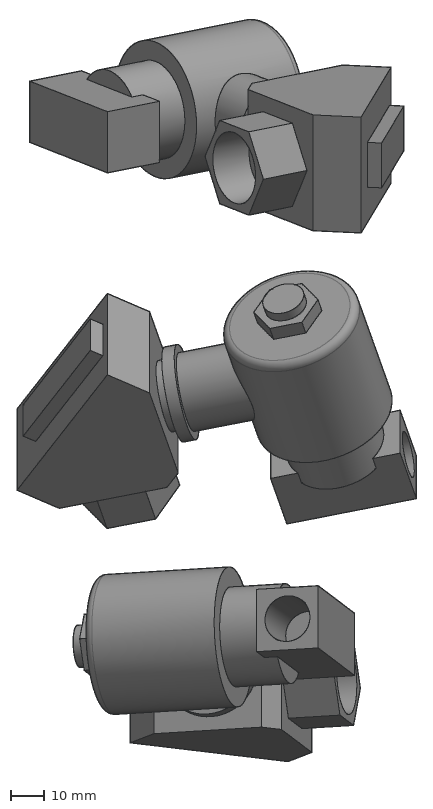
import cadquery as cq
import math


coil_radius = 21.0
coil_front_y = -18.9
coil_rear_y = 21.6
coil_rear_fillet = 2.4

nut_corner_diameter = 19.9
nut_height = 4.5
stud_diameter = 12.7
stud_height = 3.1

branch_radius = 12.0
flange_radius = 14.5
flange_start_x = 37.6
flange_end_x = 41.5

neck_radius = 15.0
neck_front_y = -35.9
foot_length = 40.1
foot_height = 19.1
foot_front_y = -50.9
foot_bore_diameter = 14.0
foot_bore_depth = 22.7

block_height = 36.1
block_left_x = 44.2
block_right_x = 92.6
block_front_y = -19.9
block_left_top_y = 18.4
block_right_y = -9.5
block_front_chamfer = 4.8
spigot_radius = 10.9

plate_length = 40.1
plate_width = 14.0
plate_thickness = 4.3
plate_inset = 2.7

port_x = 64.2
port_corner_diameter = 2 * neck_radius
port_bore_diameter = 21.9
port_bore_depth = 13.3


def cylinder_along_y(radius, start_y, end_y):
    return cq.Workplane("XZ", origin=(0, start_y, 0)).circle(radius).extrude(start_y - end_y)


def hexagon_along_y(corner_diameter, center_x, start_y, end_y):
    """Hexagonal prism with two corners on the X direction."""
    plane = cq.Workplane("XZ", origin=(center_x, start_y, 0))
    return plane.polygon(6, corner_diameter).extrude(start_y - end_y)


def cylinder_along_x(radius, start_x, end_x):
    return cq.Workplane("YZ", origin=(start_x, 0, 0)).circle(radius).extrude(end_x - start_x)


def make_coil():
    nut_rear_y = coil_rear_y + nut_height
    coil = cylinder_along_y(coil_radius, coil_front_y, coil_rear_y)
    coil = coil.faces(">Y").edges().fillet(coil_rear_fillet)
    nut = hexagon_along_y(nut_corner_diameter, 0, coil_rear_y, nut_rear_y)
    stud = cylinder_along_y(stud_diameter / 2, nut_rear_y, nut_rear_y + stud_height)
    branch = cylinder_along_x(branch_radius, 0, flange_start_x)
    flange = cylinder_along_x(flange_radius, flange_start_x, flange_end_x)
    return coil.union(nut).union(stud).union(branch).union(flange)


def make_valve_body():
    foot_depth = foot_height
    foot_center_y = foot_front_y + foot_depth / 2
    foot = cq.Workplane("XY").box(foot_length, foot_depth, foot_height)
    foot = foot.translate((0, foot_center_y, 0))
    neck = cylinder_along_y(neck_radius, neck_front_y, coil_front_y)
    foot_left_x = -foot_length / 2
    bore = cylinder_along_x(foot_bore_diameter / 2, foot_left_x, foot_left_x + foot_bore_depth)
    bore = bore.translate((0, foot_center_y, 0))
    return foot.union(neck).cut(bore)


def make_block():
    end_run = block_right_y - block_front_y
    peak_x = block_left_x + end_run
    peak_y = block_left_top_y + end_run
    outline = [
        (block_left_x, block_left_top_y),
        (peak_x, peak_y),
        (block_right_x, block_right_y),
        (block_right_x - end_run, block_front_y),
        (block_left_x + block_front_chamfer, block_front_y),
        (block_left_x, block_front_y + block_front_chamfer),
    ]
    block = cq.Workplane("XY").polyline(outline).close().extrude(block_height / 2, both=True)

    slant_angle = math.atan2(block_right_y - peak_y, block_right_x - peak_x)
    plate = cq.Workplane("XY").box(
        plate_length, plate_thickness, plate_width, centered=(False, False, True)
    )
    plate = plate.translate((plate_inset, 0, 0))
    plate = plate.rotate((0, 0, 0), (0, 0, 1), math.degrees(slant_angle))
    return block.union(plate.translate((peak_x, peak_y, 0)))


def make_connector():
    spigot = cylinder_along_x(spigot_radius, flange_end_x, block_left_x)
    port = hexagon_along_y(port_corner_diameter, port_x, neck_front_y, block_front_y)
    bore = cylinder_along_y(port_bore_diameter / 2, neck_front_y, neck_front_y + port_bore_depth)
    return make_block().union(spigot).union(port).cut(bore.translate((port_x, 0, 0)))


coil_housing = make_coil()
valve_body = make_valve_body()
connector = make_connector()

result = cq.Compound.makeCompound([coil_housing.val(), valve_body.val(), connector.val()])